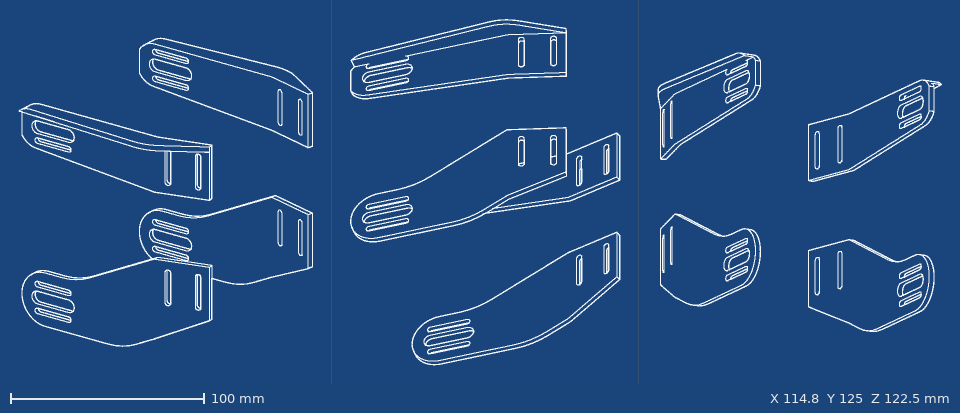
import cadquery as cq
import math

sheet = 3.0
inner_face_y = 50.05
outer_face_y = inner_face_y + sheet
arm_length = 85.0
leg_length = 30.0
bend_angle = 15.0

leg_cos = math.cos(math.radians(bend_angle))
leg_sin = math.sin(math.radians(bend_angle))
inner_bend = (arm_length, inner_face_y)
outer_bend = (arm_length + sheet * math.tan(math.radians(bend_angle / 2)), outer_face_y)
inner_tip = (arm_length + leg_length * leg_cos, inner_face_y - leg_length * leg_sin)
outer_tip = (inner_tip[0] + sheet * leg_sin, inner_tip[1] + sheet * leg_cos)

leg_height = 30.0
lower_top_z = 55.0
upper_top_z = 122.5
upper_bottom_z = upper_top_z - leg_height

slot_first_x = 10.0
slot_travel = 20.0
main_slot_width = 7.0
side_slot_width = 3.0
side_slot_offset = 7.5
leg_slot_width = 3.0
leg_slot_height = 20.0
leg_slot_positions = (6.75, 23.5)

lug_radius = 15.0
slant = math.atan(0.5)
elbow_radius = 40.0

nose_radius = 12.0
nose_z = upper_top_z - nose_radius
flange_start_y = 58.4
flange_corner = (86.4, 62.9)
flange_corner_radius = 25.0

cut_depth = 200.0


def bent_sheet():
    """Bent strip, tall enough for every bracket."""
    return (
        cq.Workplane("XY")
        .moveTo(0, inner_face_y)
        .lineTo(*inner_bend)
        .lineTo(*inner_tip)
        .lineTo(*outer_tip)
        .lineTo(*outer_bend)
        .lineTo(0, outer_face_y)
        .close()
        .extrude(upper_top_z)
    )


def side_sketch():
    """XZ workplane from which outlines extrude along +Y."""
    return cq.Workplane("XZ")


def lug_slots(centre_z):
    """Main slot with a narrow slot above and below it."""
    centre_x = slot_first_x + slot_travel / 2
    main = side_sketch().center(centre_x, centre_z).slot2D(slot_travel + main_slot_width, main_slot_width)
    cutter = main.extrude(-cut_depth)
    for offset in (-side_slot_offset, side_slot_offset):
        side = side_sketch().center(centre_x, centre_z + offset)
        side = side.slot2D(slot_travel + side_slot_width, side_slot_width)
        cutter = cutter.union(side.extrude(-cut_depth))
    return cutter


def leg_slots(centre_z):
    """Upright slots cut square through the leaning leg."""
    leg_plane = cq.Plane(
        origin=(inner_bend[0], inner_bend[1], centre_z),
        xDir=(leg_cos, -leg_sin, 0),
        normal=(-leg_sin, -leg_cos, 0),
    )
    return (
        cq.Workplane(leg_plane)
        .pushPoints([(position, 0) for position in leg_slot_positions])
        .slot2D(leg_slot_height, leg_slot_width, 90)
        .extrude(2 * sheet, both=True)
    )


def lower_outline():
    """Round lug, rising arm and a leg with a slanted lower edge."""
    tangent = elbow_radius * math.tan(slant / 2)
    run = tangent * math.cos(slant)
    rise = tangent * math.sin(slant)
    mid_run = elbow_radius * math.sin(slant / 2)
    mid_rise = elbow_radius * (1 - math.cos(slant / 2))
    lug_top_z = 2 * lug_radius
    tip_x = outer_tip[0]
    tip_z = lower_top_z - leg_height
    lower_corner_x = tip_x - tip_z / math.tan(slant)
    upper_corner_x = arm_length - (lower_top_z - lug_top_z) / math.tan(slant)
    lower_start_x = lower_corner_x - tangent
    upper_start_x = upper_corner_x - tangent
    return (
        side_sketch()
        .moveTo(lug_radius, 0)
        .lineTo(lower_start_x, 0)
        .threePointArc((lower_start_x + mid_run, mid_rise), (lower_corner_x + run, rise))
        .lineTo(tip_x, tip_z)
        .lineTo(tip_x, lower_top_z)
        .lineTo(arm_length, lower_top_z)
        .lineTo(upper_corner_x + run, lug_top_z + rise)
        .threePointArc((upper_start_x + mid_run, lug_top_z + mid_rise), (upper_start_x, lug_top_z))
        .lineTo(lug_radius, lug_top_z)
        .threePointArc((0, lug_radius), (lug_radius, 0))
        .close()
        .extrude(-cut_depth)
    )


def upper_outline():
    """Flat-ended round nose, level top and a lower edge tangent to the nose."""
    nose_x = slot_first_x
    run = arm_length - nose_x
    drop = nose_z - upper_bottom_z
    edge_angle = math.atan2(drop, run) - math.asin(nose_radius / math.hypot(run, drop))
    flat_half = math.sqrt(nose_radius**2 - nose_x**2)

    def nose_point(angle):
        return (nose_x + nose_radius * math.cos(angle), nose_z + nose_radius * math.sin(angle))

    flat_angle = math.atan2(flat_half, -nose_x)
    tangent_angle = -math.pi / 2 - edge_angle
    top_mid = nose_point((math.pi / 2 + flat_angle) / 2)
    bottom_mid = nose_point((tangent_angle - flat_angle) / 2)
    return (
        side_sketch()
        .moveTo(nose_x, upper_top_z)
        .threePointArc(top_mid, (0, nose_z + flat_half))
        .lineTo(0, nose_z - flat_half)
        .threePointArc(bottom_mid, nose_point(tangent_angle))
        .lineTo(arm_length, upper_bottom_z)
        .lineTo(outer_tip[0], upper_bottom_z)
        .lineTo(outer_tip[0], upper_top_z)
        .close()
        .extrude(-cut_depth)
    )


def top_flange():
    """Tapered flange standing outwards along the top edge."""
    return (
        cq.Workplane("XY", origin=(0, 0, upper_top_z - sheet))
        .moveTo(0, inner_face_y)
        .lineTo(*inner_bend)
        .lineTo(*inner_tip)
        .lineTo(*outer_tip)
        .lineTo(*flange_corner)
        .lineTo(0, flange_start_y)
        .close()
        .extrude(sheet)
        .edges(cq.selectors.NearestToPointSelector((*flange_corner, upper_top_z - sheet / 2)))
        .fillet(flange_corner_radius)
    )


def lower_bracket():
    plate = bent_sheet().intersect(lower_outline())
    return plate.cut(lug_slots(lug_radius)).cut(leg_slots(lower_top_z - leg_height / 2))


def upper_bracket():
    plate = bent_sheet().union(top_flange()).intersect(upper_outline())
    return plate.cut(lug_slots(nose_z)).cut(leg_slots(upper_top_z - leg_height / 2))


bodies = []
for bracket in (lower_bracket(), upper_bracket()):
    bodies.append(bracket.solids().val())
    bodies.append(bracket.mirror("XZ").solids().val())

result = cq.Compound.makeCompound(bodies)